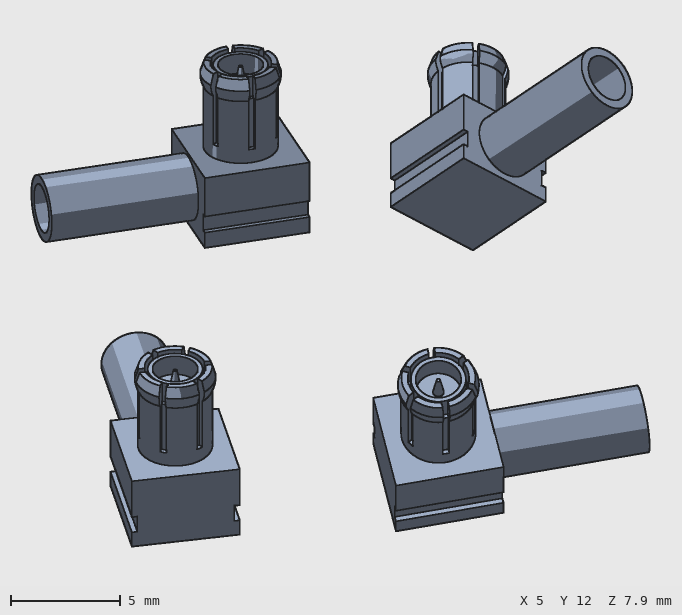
import cadquery as cq


block_side = 5.0
block_height = 3.6
groove_bottom = 0.79
groove_top = 1.62
groove_depth = 0.25

overall_length = 12.0
sleeve_length = overall_length - block_side
sleeve_radius = 1.55
sleeve_bore_radius = 1.13
cable_axis_height = 1.9
ferrule_length = 4.8
ferrule_radius = 0.85
ferrule_bore_radius = 0.5
ferrule_outer_chamfer = 0.12
ferrule_bore_chamfer = 0.05

overall_height = 7.9
collar_radius = 1.7
collar_bore_radius = 1.39
bead_radius = 1.85
bead_top_radius = 1.68
bead_bottom = 6.78
bead_crest_bottom = 7.31
bead_crest_top = 7.38
slot_count = 6
slot_width = 0.3
slot_bottom = 4.28
slot_floor_radius = 1.49

collar_floor = bead_bottom
insulator_base_radius = 1.3
insulator_top_radius = 1.25
insulator_bore_radius = 1.03
insulator_top = 7.78
pin_base_radius = 0.25
pin_tip_radius = 0.08
pin_top = 7.69


def cylinder(radius, bottom, top):
    return cq.Workplane("XY", origin=(0, 0, bottom)).circle(radius).extrude(top - bottom)


def cone(base_radius, top_radius, bottom, top):
    solid = cq.Solid.makeCone(base_radius, top_radius, top - bottom, cq.Vector(0, 0, bottom))
    return cq.Workplane(solid)


def make_block():
    block = cq.Workplane("XY").box(block_side, block_side, block_height, centered=(True, True, False))
    groove = cq.Workplane("XY").box(
        2 * groove_depth, block_side, groove_top - groove_bottom, centered=(True, True, False)
    )
    for side in (-1, 1):
        block = block.cut(groove.translate((side * block_side / 2, 0, groove_bottom)))
    return block


def make_cable_sleeve():
    root = cq.Workplane("XZ", origin=(0, -block_side / 2, cable_axis_height))
    sleeve = root.circle(sleeve_radius).circle(sleeve_bore_radius).extrude(sleeve_length)

    ferrule = root.circle(ferrule_radius).circle(ferrule_bore_radius).extrude(ferrule_length)
    outer_rim = cq.selectors.RadiusNthSelector(1)
    bore_rim = cq.selectors.RadiusNthSelector(0)
    ferrule = ferrule.faces("<Y").edges(outer_rim).chamfer(ferrule_outer_chamfer)
    ferrule = ferrule.faces("<Y").edges(bore_rim).chamfer(ferrule_bore_chamfer)
    return sleeve.union(ferrule)


def make_collar_body():
    flank_height = bead_crest_bottom - bead_bottom
    flank_depth = bead_radius - collar_radius
    flank_arc_radius = (flank_height**2 + flank_depth**2) / (2 * flank_depth)
    profile = (
        cq.Workplane("XZ")
        .moveTo(0, block_height)
        .lineTo(collar_radius, block_height)
        .lineTo(collar_radius, bead_bottom)
        .radiusArc((bead_radius, bead_crest_bottom), -flank_arc_radius)
        .lineTo(bead_radius, bead_crest_top)
        .lineTo(bead_top_radius, overall_height)
        .lineTo(0, overall_height)
        .close()
    )
    return profile.revolve(360, (0, 0, 0), (0, 1, 0))


def cut_slots(collar):
    slot_reach = bead_radius + slot_width
    slot = cq.Workplane("XY", origin=(0, 0, slot_bottom)).box(
        slot_reach, slot_width, overall_height - slot_bottom, centered=(False, True, False)
    )
    slot = slot.cut(cylinder(slot_floor_radius, slot_bottom, collar_floor))
    for index in range(slot_count):
        collar = collar.cut(slot.rotate((0, 0, 0), (0, 0, 1), index * 360 / slot_count))
    return collar


def make_insulator():
    ring = cone(insulator_base_radius, insulator_top_radius, collar_floor, insulator_top)
    return ring.cut(cylinder(insulator_bore_radius, collar_floor, insulator_top))


def make_collar():
    collar = make_collar_body().cut(cylinder(collar_bore_radius, collar_floor, overall_height))
    collar = cut_slots(collar)
    pin = cone(pin_base_radius, pin_tip_radius, collar_floor, pin_top)
    return collar.union(make_insulator()).union(pin)


result = make_block().union(make_cable_sleeve()).union(make_collar())